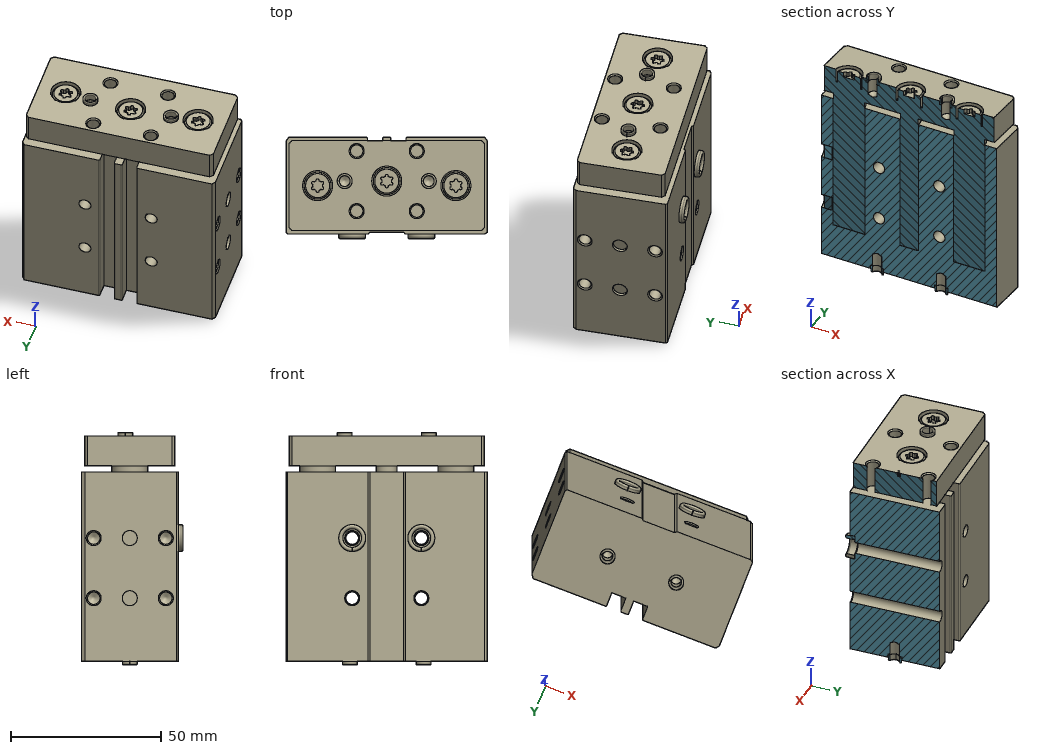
import cadquery as cq
import math


width = 67.0
height = 63.0
back = 16.1
front = -16.15
back_chamfer_x = 0.9
back_chamfer_y = 1.2
front_chamfer_y = 0.6
front_left_chamfer_x = 0.5
front_right_chamfer_x = 1.0

groove_half_floor = 5.6
groove_depth = 0.6

slot_outer = 6.4
slot_inner = 1.4
slot_depth = 5.0
slot_edge_fillet = 0.4

thread_size = 5.0
thread_core = 4.13
drill_point_angle = 118.0
side_hole_depth = 8.0
hole_pitch = 20.0
lower_hole_z = 21.0
hole_heights = [lower_hole_z, lower_hole_z + hole_pitch]
front_hole_x = 11.5
side_hole_y = 12.0

port_recess = 1.0
plug_length = 3.0

plate_gap = 2.0
plate_width = 65.0
plate_depth = 30.0
plate_thickness = 10.0
plate_chamfer = 1.0
plate_bottom = height + plate_gap
plate_top = plate_bottom + plate_thickness
plate_hole_pitch = 20.0
piston_y = 1.5
guide_x = 23.0
guide_diameter = 12.0
piston_diameter = 7.0
rod_insertion = 50.0

counterbore_diameter = 10.0
counterbore_depth = 5.0
head_diameter = 9.0
head_chamfer = 0.5
head_sink = 0.5
socket_lobes = 6
socket_core_radius = 1.65
socket_lobe_offset = 1.75
socket_lobe_radius = 0.5
socket_depth = 1.6

small_outer = 5.0
small_length = 2.5
small_protrusion = 1.2
small_inner = 3.6
small_hole_depth = 6.0
top_sleeve_x = 14.0
bottom_sleeve_x = 12.25

large_outer = 9.0
large_length = 3.3
large_protrusion = 1.6
large_inner = 6.2

sleeve_slit_angle = 1.5

RIGHT = cq.Vector(1, 0, 0)
FORWARD = cq.Vector(0, 1, 0)
UP = cq.Vector(0, 0, 1)
DOWN = cq.Vector(0, 0, -1)


def cylinder(diameter, length, point, direction):
    return cq.Workplane(cq.Solid.makeCylinder(diameter / 2, length, cq.Vector(*point), direction))


def cone(mouth_diameter, end_diameter, length, point, direction):
    solid = cq.Solid.makeCone(mouth_diameter / 2, end_diameter / 2, length, cq.Vector(*point), direction)
    return cq.Workplane(solid)


def drilled_hole(diameter, depth, point, direction):
    """Blind hole with a conical drill point."""
    bottom = cq.Vector(*point) + direction * depth
    point_length = diameter / 2 / math.tan(math.radians(drill_point_angle / 2))
    drill_point = cone(diameter, 0, point_length, bottom.toTuple(), direction)
    return cylinder(diameter, depth, point, direction).union(drill_point)


def countersink(point, direction):
    """Chamfered mouth of a threaded hole."""
    return cone(thread_size, thread_core, (thread_size - thread_core) / 2, point, direction)


def sleeve(outer, inner, length):
    """Slit sleeve standing on the XY plane, its upper rim fully rounded, with the slit toward -X."""
    outer_radius = outer / 2
    inner_radius = inner / 2
    crest_radius = (outer_radius + inner_radius) / 2
    shoulder = length - (outer_radius - inner_radius) / 2
    wall = (
        cq.Workplane("XZ")
        .moveTo(-outer_radius, 0)
        .lineTo(-outer_radius, shoulder)
        .threePointArc((-crest_radius, length), (-inner_radius, shoulder))
        .lineTo(-inner_radius, 0)
        .close()
    )
    ring = wall.revolve(360 - sleeve_slit_angle, (0, 0, 0), (0, 1, 0))
    return ring.rotate((0, 0, 0), (0, 0, 1), sleeve_slit_angle / 2)


def small_sleeve():
    return sleeve(small_outer, small_inner, small_length)


def large_sleeve():
    return sleeve(large_outer, large_inner, large_length)


def small_sleeve_seat(point, direction):
    """Recess filled by a small sleeve, with the sleeve's bore drilled on below it."""
    seat_depth = small_length - small_protrusion
    seat = cylinder(small_outer, seat_depth, point, direction)
    return seat.union(drilled_hole(small_inner, small_hole_depth, point, direction))


def rods():
    """Piston rod and guide rods, from the underside of the plate down into the housing."""
    length = plate_gap + rod_insertion
    piston = cylinder(piston_diameter, length, (0, piston_y, plate_bottom), DOWN)
    for x in (-guide_x, guide_x):
        piston = piston.add(cylinder(guide_diameter, length, (x, 0, plate_bottom), DOWN))
    return piston.combine()


def housing_block():
    half = width / 2
    groove_half_mouth = groove_half_floor + groove_depth
    outline = [
        (-half, front + front_chamfer_y),
        (-half + front_left_chamfer_x, front),
        (-groove_half_mouth, front),
        (-groove_half_floor, front + groove_depth),
        (groove_half_floor, front + groove_depth),
        (groove_half_mouth, front),
        (half - front_right_chamfer_x, front),
        (half, front + front_chamfer_y),
        (half, back - back_chamfer_y),
        (half - back_chamfer_x, back),
        (-half + back_chamfer_x, back),
        (-half, back - back_chamfer_y),
    ]
    block = cq.Workplane().polyline(outline).close().extrude(height)
    for side in (-1, 1):
        middle = side * (slot_inner + slot_outer) / 2
        slot = cq.Workplane().rect(slot_outer - slot_inner, 2 * slot_depth).extrude(height)
        block = block.cut(slot.translate((middle, back, 0)))
    mouth_edges = cq.selectors.BoxSelector(
        (-slot_outer - slot_edge_fillet, back - slot_edge_fillet, 0),
        (slot_outer + slot_edge_fillet, back + slot_edge_fillet, height),
    )
    return block.edges("|Z").edges(mouth_edges).fillet(slot_edge_fillet)


def make_housing():
    body = housing_block().cut(rods())
    left = -width / 2
    for z in hole_heights:
        for x in (-front_hole_x, front_hole_x):
            body = body.cut(cylinder(thread_core, back - front, (x, front, z), FORWARD))
        for y in (-side_hole_y, side_hole_y):
            body = body.cut(drilled_hole(thread_core, side_hole_depth, (left, y, z), RIGHT))
            body = body.cut(countersink((left, y, z), RIGHT))
        body = body.cut(cylinder(thread_size, port_recess + plug_length, (left, 0, z), RIGHT))
    seat_depth = large_length - large_protrusion
    for x in (-front_hole_x, front_hole_x):
        body = body.cut(countersink((x, front, lower_hole_z), FORWARD))
        body = body.cut(cylinder(large_outer, seat_depth, (x, front, lower_hole_z + hole_pitch), FORWARD))
        body = body.cut(countersink((x, front + seat_depth, lower_hole_z + hole_pitch), FORWARD))
    for x in (-bottom_sleeve_x, bottom_sleeve_x):
        body = body.cut(small_sleeve_seat((x, 0, 0), UP))
    return body


def screw_head():
    """Chamfered screw head with a six-lobe socket, its top on the XY plane."""
    head = cq.Workplane().circle(head_diameter / 2).extrude(head_sink - counterbore_depth)
    head = head.faces(">Z").edges().chamfer(head_chamfer)
    socket = cq.Workplane().circle(socket_core_radius).extrude(-socket_depth)
    lobes = (
        cq.Workplane()
        .polarArray(socket_lobe_offset, 90, 360, socket_lobes)
        .circle(socket_lobe_radius)
        .extrude(-socket_depth)
    )
    return head.cut(socket.union(lobes))


def make_yoke():
    """Plate with its rods and screw heads."""
    plate = cq.Workplane().box(plate_width, plate_depth, plate_thickness, centered=(True, True, False))
    plate = plate.edges("|Z").chamfer(plate_chamfer).translate((0, 0, plate_bottom))
    for x, y in [(-guide_x, 0), (0, piston_y), (guide_x, 0)]:
        plate = plate.cut(cylinder(counterbore_diameter, counterbore_depth, (x, y, plate_top), DOWN))
        plate = plate.union(screw_head().translate((x, y, plate_top - head_sink)))
    for x in (-plate_hole_pitch / 2, plate_hole_pitch / 2):
        for y in (piston_y - plate_hole_pitch / 2, piston_y + plate_hole_pitch / 2):
            plate = plate.cut(cylinder(thread_core, plate_thickness, (x, y, plate_top), DOWN))
            plate = plate.cut(countersink((x, y, plate_top), DOWN))
    for x in (-top_sleeve_x, top_sleeve_x):
        plate = plate.cut(small_sleeve_seat((x, piston_y, plate_top), DOWN))
    return plate.union(rods())


def make_port_plugs():
    start = -width / 2 + port_recess
    return [cylinder(thread_size, plug_length, (start, 0, z), RIGHT) for z in hole_heights]


def make_top_sleeves():
    base = plate_top + small_protrusion - small_length
    return [small_sleeve().translate((x, piston_y, base)) for x in (-top_sleeve_x, top_sleeve_x)]


def make_bottom_sleeves():
    base = small_length - small_protrusion
    upside_down = small_sleeve().rotate((0, 0, 0), (1, 0, 0), 180)
    return [upside_down.translate((x, 0, base)) for x in (-bottom_sleeve_x, bottom_sleeve_x)]


def make_front_sleeves():
    """Large sleeves facing forward, with their slits at the bottom."""
    base = front - large_protrusion + large_length
    slit_toward_front = large_sleeve().rotate((0, 0, 0), (0, 0, 1), 90)
    facing_front = slit_toward_front.rotate((0, 0, 0), (1, 0, 0), 90)
    z = lower_hole_z + hole_pitch
    return [facing_front.translate((x, base, z)) for x in (-front_hole_x, front_hole_x)]


bodies = [
    make_housing(),
    make_yoke(),
    *make_port_plugs(),
    *make_top_sleeves(),
    *make_bottom_sleeves(),
    *make_front_sleeves(),
]
result = cq.Compound.makeCompound([body.solids().val() for body in bodies])